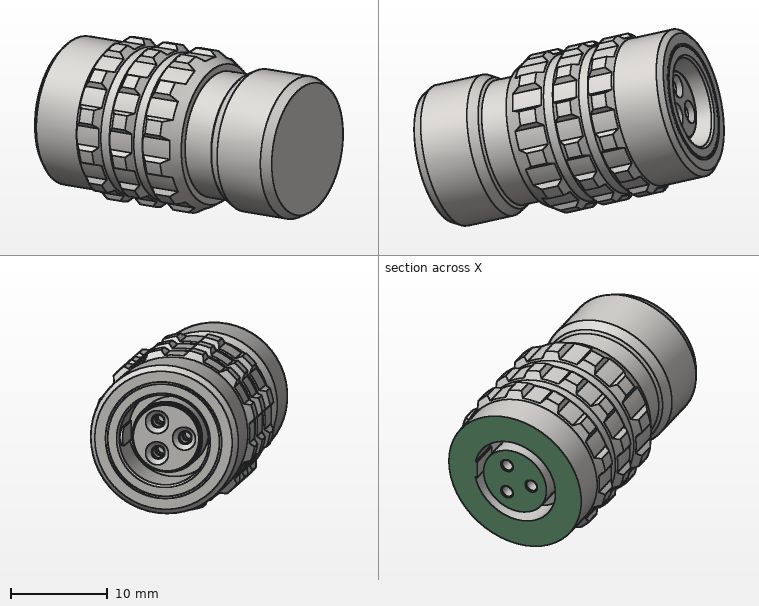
import cadquery as cq
import math

LENGTH = 28.8
FRONT = -LENGTH / 2
SLEEVE_RADIUS = 7.8
FRONT_CHAMFER = 0.55
NECK_START = 18.0
NECK_END = 21.17
NECK_RADIUS = 6.62
REAR_RADIUS = 7.5
REAR_BEVEL_LENGTH = 1.05
REAR_BEVEL_HEIGHT = 0.55
REAR_STEP_LENGTH = 0.25

CREST_DIAMETER = 17.02
CREST_RADIUS = CREST_DIAMETER / 2
RING_START = 5.45
RING_PITCH = 4.03
CREST_LENGTH = 1.58
LAST_CREST_LENGTH = 1.85
LAST_RING_END_RADIUS = 7.37

GAP_COUNT = 12
GAP_FLOOR_RADIUS = 7.98
GAP_HALF_ANGLE = math.radians(7.2)

SEAM_OUTER_RADIUS = 6.13
SEAM_INNER_RADIUS = 5.9
SEAM_DEPTH = 0.12
BORE_RADIUS = 4.72
BORE_DEPTH = 5.18
BORE_CHAMFER = 0.23
INSERT_RADIUS = 3.6
INSERT_CHAMFER = 0.15
COLLAR_RADIUS = 3.72
COLLAR_RECESS = 2.02
INSERT_RECESS = 1.35

CONTACT_COUNT = 3
CONTACT_CIRCLE_RADIUS = 1.9
FIRST_CONTACT_ANGLE = 60
FUNNEL_RADIUS = 1.2
FUNNEL_DEPTH = 0.52
HOLE_STEPS = [(0.7, 0.78), (0.6, 2.02), (0.5, 2.88)]

KEY_WIDTH = 1.95
KEY_FACE_Y = 4.44
KEY_RECESS = 0.6


def cylinder(start, end, radius, y=0.0, z=0.0):
    """Cylinder along X between two distances from the front end."""
    plane = cq.Workplane("YZ", origin=(FRONT + start, 0, 0))
    return plane.center(y, z).circle(radius).extrude(end - start)


def ring_points(start, crest_length):
    """Corners of a grip ring whose flanks rise at 45 degrees from the sleeve."""
    rise = CREST_RADIUS - SLEEVE_RADIUS
    crest_start = start + rise
    crest_end = crest_start + crest_length
    return [
        (start, SLEEVE_RADIUS),
        (crest_start, CREST_RADIUS),
        (crest_end, CREST_RADIUS),
        (crest_end + rise, SLEEVE_RADIUS),
    ]


def make_body():
    last_ring = ring_points(RING_START + 2 * RING_PITCH, LAST_CREST_LENGTH)[:3]
    bevel_radius = REAR_RADIUS - REAR_BEVEL_HEIGHT
    bevel_start = NECK_END + REAR_STEP_LENGTH
    outline = [
        (0, 0),
        (0, SLEEVE_RADIUS - FRONT_CHAMFER),
        (FRONT_CHAMFER, SLEEVE_RADIUS),
        *ring_points(RING_START, CREST_LENGTH),
        *ring_points(RING_START + RING_PITCH, CREST_LENGTH),
        *last_ring,
        (NECK_START, LAST_RING_END_RADIUS),
        (NECK_START, NECK_RADIUS),
        (NECK_END, NECK_RADIUS),
        (bevel_start, bevel_radius),
        (bevel_start + REAR_BEVEL_LENGTH, REAR_RADIUS),
        (LENGTH - REAR_BEVEL_LENGTH, REAR_RADIUS),
        (LENGTH, bevel_radius),
        (LENGTH, 0),
    ]
    profile = cq.Workplane("XY", origin=(FRONT, 0, 0)).polyline(outline).close()
    return profile.revolve(360, (0, 0, 0), (1, 0, 0))


def cut_tooth_gaps(body):
    """Cut gaps with a rounded floor and 45 degree sides through all three rings."""
    foot_y = GAP_FLOOR_RADIUS * math.sin(GAP_HALF_ANGLE)
    foot_z = GAP_FLOOR_RADIUS * math.cos(GAP_HALF_ANGLE)
    side = 2 * (CREST_RADIUS - foot_z)
    gap = (
        cq.Workplane("YZ", origin=(FRONT + RING_START, 0, 0))
        .moveTo(-foot_y, foot_z)
        .threePointArc((0, GAP_FLOOR_RADIUS), (foot_y, foot_z))
        .lineTo(foot_y + side, foot_z + side)
        .lineTo(-foot_y - side, foot_z + side)
        .close()
        .extrude(NECK_START - RING_START)
    )
    for i in range(GAP_COUNT):
        body = body.cut(gap.rotate((0, 0, 0), (1, 0, 0), i * 360 / GAP_COUNT))
    return body


def cut_socket(body):
    """Cut the bore and the seam groove, leaving the collared insert standing on the bore floor."""
    seam = cylinder(0, SEAM_DEPTH, SEAM_OUTER_RADIUS).cut(cylinder(0, SEAM_DEPTH, SEAM_INNER_RADIUS))
    body = body.cut(seam).cut(cylinder(0, BORE_DEPTH, BORE_RADIUS))
    mouth = cq.Workplane("YZ", origin=(FRONT, 0, 0)).circle(BORE_RADIUS + BORE_CHAMFER)
    body = body.cut(mouth.extrude(BORE_CHAMFER, taper=45))
    insert = cylinder(INSERT_RECESS, BORE_DEPTH, INSERT_RADIUS).faces("<X").chamfer(INSERT_CHAMFER)
    collar = cylinder(COLLAR_RECESS, BORE_DEPTH, COLLAR_RADIUS)
    return body.union(insert).union(collar)


def cut_contact_holes(body):
    mouth_radius = HOLE_STEPS[0][0]
    funnel_taper = math.degrees(math.atan2(FUNNEL_RADIUS - mouth_radius, FUNNEL_DEPTH))
    for i in range(CONTACT_COUNT):
        angle = math.radians(FIRST_CONTACT_ANGLE + i * 360 / CONTACT_COUNT)
        y = CONTACT_CIRCLE_RADIUS * math.cos(angle)
        z = CONTACT_CIRCLE_RADIUS * math.sin(angle)
        funnel = cq.Workplane("YZ", origin=(FRONT + INSERT_RECESS, y, z)).circle(FUNNEL_RADIUS)
        body = body.cut(funnel.extrude(FUNNEL_DEPTH, taper=funnel_taper))
        for radius, depth in HOLE_STEPS:
            body = body.cut(cylinder(INSERT_RECESS, INSERT_RECESS + depth, radius, y, z))
    return body


def add_key(body):
    """Add a flat-faced key with a round front end, running back to the bore floor."""
    key_radius = KEY_WIDTH / 2
    round_center = FRONT + KEY_RECESS + key_radius
    back = FRONT + BORE_DEPTH
    height = BORE_RADIUS + BORE_CHAMFER - KEY_FACE_Y
    key = (
        cq.Workplane("XZ", origin=(0, KEY_FACE_Y, 0))
        .moveTo(back, -key_radius)
        .lineTo(round_center, -key_radius)
        .threePointArc((FRONT + KEY_RECESS, 0), (round_center, key_radius))
        .lineTo(back, key_radius)
        .close()
        .extrude(-height)
    )
    return body.union(key)


result = add_key(cut_contact_holes(cut_socket(cut_tooth_gaps(make_body()))))